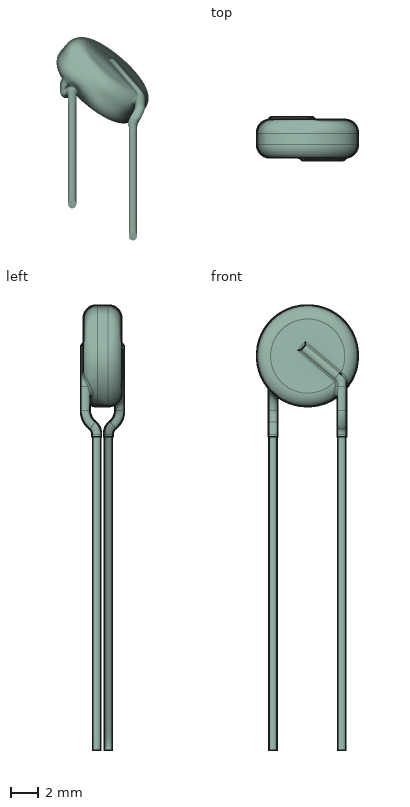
import cadquery as cq
import math

disc_diameter = 7.4
disc_thickness = 2.8
disc_edge_radius = 1.0

wire_diameter = 0.6
coating_diameter = 0.7
lead_pitch = 5.0
overall_depth = 3.2
overall_height = 32.4
lower_lead_offset = 0.425

rest_angle = 40.0
rest_end_x = 0.3
elbow_radius = 1.0
elbow_start_z = -2.2
blend_radius = 0.18

bend_top_z = -3.96
bend_bottom_z = -5.7
upper_bend_radius = 1.4
coating_bottom_z = -5.9
coating_end_radius = (coating_diameter - wire_diameter) / 2

disc_radius = disc_diameter / 2
lead_x = lead_pitch / 2
upper_lead_offset = (overall_depth - coating_diameter) / 2
lead_bottom_z = disc_radius - overall_height


def make_disc():
    disc = cq.Workplane("XZ", origin=(0, disc_thickness / 2, 0)).circle(disc_radius).extrude(disc_thickness)
    return disc.edges().fillet(disc_edge_radius)


def sweep_round(path, diameter, plane):
    return cq.Workplane(plane).circle(diameter / 2).sweep(path)


def make_rest():
    """Coated stretch from the top of the S-bend up and across the disc face."""
    slope = math.radians(rest_angle)
    turn = math.pi / 2 - slope

    def elbow_point(angle):
        x = lead_x - elbow_radius * (1 - math.cos(angle))
        return x, elbow_start_z + elbow_radius * math.sin(angle)

    elbow_end_x, elbow_end_z = elbow_point(turn)
    rest_end_z = elbow_end_z + (elbow_end_x + rest_end_x) * math.tan(slope)
    path = (
        cq.Workplane("XZ", origin=(0, -upper_lead_offset, 0))
        .moveTo(lead_x, bend_top_z)
        .lineTo(lead_x, elbow_start_z)
        .threePointArc(elbow_point(turn / 2), (elbow_end_x, elbow_end_z))
        .lineTo(-rest_end_x, rest_end_z)
    )
    start = cq.Plane(origin=(lead_x, -upper_lead_offset, bend_top_z), normal=(0, 0, 1))
    return sweep_round(path, coating_diameter, start)


def make_s_bend():
    """Coated S-bend of two opposite arcs, with a short straight end, rounded at the rim."""
    drop = bend_top_z - bend_bottom_z
    shift = upper_lead_offset - lower_lead_offset
    turn = 2 * math.atan2(shift, drop)
    lower_bend_radius = drop / math.sin(turn) - upper_bend_radius

    def upper_point(angle):
        y = -upper_lead_offset + upper_bend_radius * (1 - math.cos(angle))
        return y, bend_top_z - upper_bend_radius * math.sin(angle)

    def lower_point(angle):
        y = -lower_lead_offset - lower_bend_radius * (1 - math.cos(angle))
        return y, bend_bottom_z + lower_bend_radius * math.sin(angle)

    path = (
        cq.Workplane("YZ", origin=(lead_x, 0, 0))
        .moveTo(-upper_lead_offset, bend_top_z)
        .threePointArc(upper_point(turn / 2), upper_point(turn))
        .threePointArc(lower_point(turn / 2), (-lower_lead_offset, bend_bottom_z))
        .lineTo(-lower_lead_offset, coating_bottom_z)
    )
    start = cq.Plane(origin=(lead_x, -upper_lead_offset, bend_top_z), normal=(0, 0, -1))
    bend = sweep_round(path, coating_diameter, start)
    return bend.faces("<Z").edges().fillet(coating_end_radius)


def make_bare_lead():
    lead = cq.Workplane("XY", origin=(lead_x, -lower_lead_offset, lead_bottom_z))
    return lead.circle(wire_diameter / 2).extrude(coating_bottom_z - lead_bottom_z)


def half_turn(part):
    """The second lead is the first one turned half a turn about Z."""
    return part.rotate((0, 0, 0), (0, 0, 1), 180)


def seam_edges(joined, first, second):
    """Edges of the joined body that lie on the surfaces of both parts."""
    tolerance = 1e-4
    sample_fractions = (0.1, 0.4, 0.7)
    skins = [cq.Compound.makeCompound(part.faces().vals()) for part in (first, second)]

    def on_both(edge):
        samples = [cq.Vertex.makeVertex(*edge.positionAt(t).toTuple()) for t in sample_fractions]
        return all(skin.distance(sample) < tolerance for skin in skins for sample in samples)

    return [edge for edge in joined.edges().vals() if on_both(edge)]


disc = make_disc()
front_rest = make_rest()
back_rest = half_turn(front_rest)
body = disc.union(front_rest).union(back_rest)
seams = seam_edges(body, disc, front_rest) + seam_edges(body, disc, back_rest)
body = body.newObject(seams).fillet(blend_radius)

lower_lead = make_s_bend().union(make_bare_lead())
result = body.union(lower_lead).union(half_turn(lower_lead))